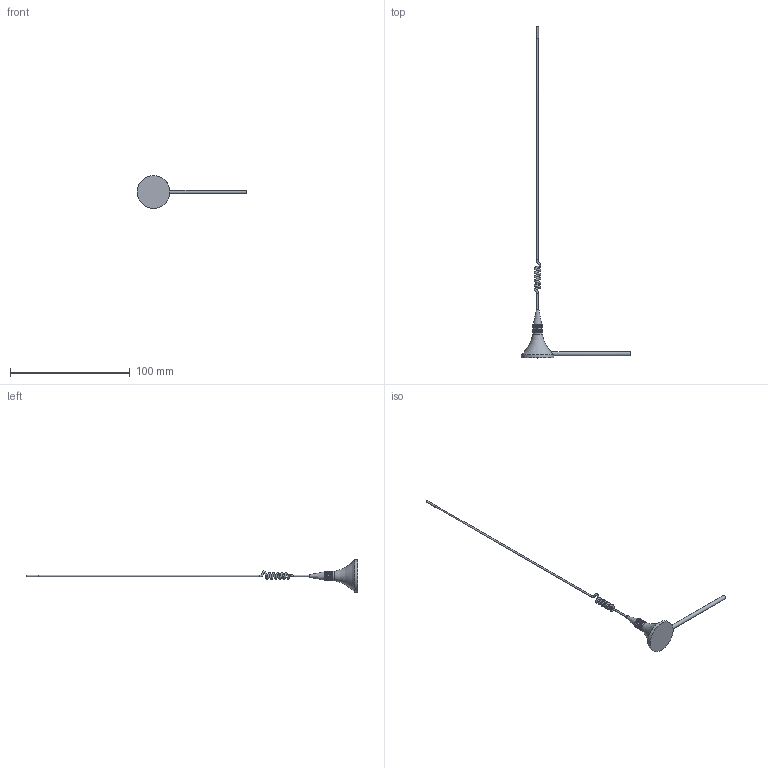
import math

import cadquery as cq


overall_width = 91.31
base_radius = 13.59
rim_height = 2.7
waist_radius = 3.9
flare_end = 19.9
flare_mid_y = 10.8
flare_mid_radius = 7.1
collar_end = 21.3

grip_radius = 3.9
grip_end = 28.3
grip_chamfer = 0.4
flute_count = 24
flute_depth = 0.35
cone_base_radius = 3.4
cone_tip_radius = 1.1
cone_end = 40.2

whip_length = 276.86
wire_diameter = 1.35
coil_radius = 2.15
coil_start = 57.3
coil_pitch = 3.5
coil_turns = 5.5
lower_rod_end = 54.0
upper_rod_start = 82.0
entry_handle = 1.8
axial_handle = 1.6
exit_handle = 3.4
hook_controls = [(1.9, 78.3, 5.0), (0, 79.8, 4.4), (0, 79.4, 0), (0, 79.6, 0)]
rod_overlap = 1.0

sleeve_diameter = 1.6
sleeve_length = 10.2

cable_diameter = 3.2
cable_axis_y = 3.5
cable_end_x = overall_width - base_radius


def cylinder_along_y(radius, y_start, y_end):
    """Solid cylinder on the Y axis between two heights."""
    plane = cq.Plane(origin=(0, y_start, 0), xDir=(1, 0, 0), normal=(0, 1, 0))
    return cq.Workplane(plane).circle(radius).extrude(y_end - y_start)


def make_body():
    """Foot, collar, grip and tapered cap as one turned profile."""
    return (
        cq.Workplane("YZ")
        .moveTo(0, 0)
        .lineTo(0, base_radius)
        .lineTo(rim_height, base_radius)
        .threePointArc((flare_mid_y, flare_mid_radius), (flare_end, waist_radius))
        .lineTo(collar_end, waist_radius)
        .lineTo(grip_end - grip_chamfer, grip_radius)
        .lineTo(grip_end, grip_radius - grip_chamfer)
        .lineTo(grip_end, cone_base_radius)
        .lineTo(cone_end, cone_tip_radius)
        .lineTo(cone_end, 0)
        .close()
        .revolve(360, (0, 0, 0), (1, 0, 0))
    )


def make_flutes():
    """Evenly spaced V flutes cut lengthwise into the grip."""
    spread = math.pi / flute_count
    outer = grip_radius + flute_depth
    inner = grip_radius - flute_depth
    plane = cq.Plane(origin=(0, collar_end, 0), xDir=(1, 0, 0), normal=(0, 1, 0))
    flutes = cq.Workplane(plane)
    for index in range(flute_count):
        angle = 2 * math.pi * index / flute_count
        corners = [
            (inner * math.cos(angle), inner * math.sin(angle)),
            (outer * math.cos(angle - spread), outer * math.sin(angle - spread)),
            (outer * math.cos(angle + spread), outer * math.sin(angle + spread)),
        ]
        flutes = flutes.polyline(corners).close()
    return flutes.extrude(grip_end - collar_end)


def bezier_edge(control_points):
    """Bezier edge through the first and last control points."""
    return cq.Edge.makeBezier([cq.Vector(*point) for point in control_points])


def make_coil():
    """Left-handed loading coil with the bends that bring the wire back to the whip axis."""
    slope = coil_pitch / (2 * math.pi * coil_radius)
    coil_height = coil_pitch * coil_turns
    coil_end = coil_start + coil_height
    helix = (
        cq.Wire.makeHelix(coil_pitch, coil_height, coil_radius, lefthand=True)
        .rotate(cq.Vector(), cq.Vector(1, 0, 0), -90)
        .rotate(cq.Vector(), cq.Vector(0, 1, 0), 180)
        .translate(cq.Vector(0, coil_start, 0))
    )
    entry_bend = bezier_edge([
        (0, lower_rod_end, 0),
        (0, lower_rod_end + axial_handle, 0),
        (-coil_radius, coil_start - entry_handle * slope, entry_handle),
        (-coil_radius, coil_start, 0),
    ])
    exit_hook = bezier_edge([
        (coil_radius, coil_end, 0),
        (coil_radius, coil_end + exit_handle * slope, exit_handle),
        *hook_controls,
        (0, upper_rod_start, 0),
    ])
    path = cq.Wire.assembleEdges([entry_bend] + helix.Edges() + [exit_hook])
    plane = cq.Plane(origin=(0, lower_rod_end, 0), xDir=(1, 0, 0), normal=(0, 1, 0))
    return cq.Workplane(plane).circle(wire_diameter / 2).sweep(cq.Workplane(path))


def make_rods():
    """Straight whip lengths below and above the coil, plus the end sleeve."""
    wire_radius = wire_diameter / 2
    lower = cylinder_along_y(wire_radius, cone_end - rod_overlap, lower_rod_end)
    upper = cylinder_along_y(wire_radius, upper_rod_start, whip_length)
    sleeve = cylinder_along_y(sleeve_diameter / 2, whip_length - sleeve_length, whip_length)
    return lower, upper.union(sleeve)


def make_cable():
    """Round feed cable from the middle of the foot to its free end."""
    return (
        cq.Workplane("YZ")
        .center(cable_axis_y, 0)
        .circle(cable_diameter / 2)
        .extrude(cable_end_x)
    )


lower_rod, upper_rod = make_rods()
whip = lower_rod.union(make_coil()).union(upper_rod)
result = make_body().cut(make_flutes()).union(whip).union(make_cable())